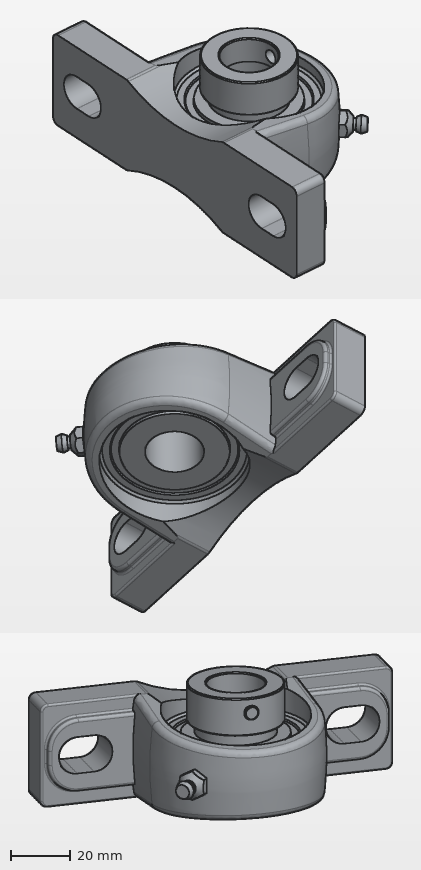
import cadquery as cq
import math


foot_length = 125.5
foot_width = 37.0
foot_bottom_y = -33.3
foot_top_y = -20.3
foot_corner_radius = 2.5
waist_half_length = 24.6
waist_half_width = 12.8
waist_blend_radius = 2.5
foot_edge_radius = 0.8

slot_center_x = 47.6
slot_length = 19.1
slot_width = 13.0
pad_outer_x = 60.7
pad_inner_x = 27.6
pad_width = 26.1
pad_height = 2.6
pad_corner_radius = 10.5
pad_edge_radius = 1.1
pad_foot_radius = 0.8

body_radius = 30.7
crown_radius = 113.0
body_tip_half_width = 12.11
body_edge_radius = 2.5

bore_diameter = 51.0
bore_shoulder_z = 9.0

ring_half_width = 8.3
ring_face_radius = 24.5
ring_bore_radius = 21.5
ring_bore_chamfer = 0.5

shield_bore_diameter = 37.6
shield_thickness = 1.0
shield_recess = 0.5

shaft_diameter = 20.0
inner_ring_diameter = 37.3
inner_ring_half_width = 8.9
neck_diameter = 28.0
neck_top_z = 17.1

collar_diameter = 33.3
collar_bottom_z = 13.0
collar_top_z = 26.54
collar_chamfer = 0.44
screw_diameter = 5.0
screw_z = 21.3
screw_inner_y = 13.8
screw_outer_y = 17.5
screw_chamfer = 0.4

nipple_angle = 45.0
stem_diameter = 5.0
stem_bottom = 27.6
hex_bottom = 30.7
hex_across_flats = 9.0
hex_chamfer_start = 32.9
shoulder_top = 35.4
shoulder_top_radius = 2.6
nipple_neck_diameter = 4.1
head_bottom = 36.4
head_widest = 38.2
head_widest_radius = 3.3
head_top = 40.2
head_end_diameter = 5.0

half_length = foot_length / 2
half_width = foot_width / 2
bore_radius = bore_diameter / 2
sphere_radius = math.hypot(ring_face_radius, ring_half_width)


def cylinder(diameter, bottom_z, top_z):
    return cq.Workplane("XY").workplane(offset=bottom_z).circle(diameter / 2).extrude(top_z - bottom_z)


def waisted_prism(bottom_y, top_y):
    """Foot outline in XZ with an arc waist on both long sides, extruded along Y."""
    prism = (
        cq.Workplane("XZ", origin=(0, bottom_y, 0))
        .moveTo(-half_length, -half_width)
        .lineTo(-waist_half_length, -half_width)
        .threePointArc((0, -waist_half_width), (waist_half_length, -half_width))
        .lineTo(half_length, -half_width)
        .lineTo(half_length, half_width)
        .lineTo(waist_half_length, half_width)
        .threePointArc((0, waist_half_width), (-waist_half_length, half_width))
        .lineTo(-half_length, half_width)
        .close()
        .extrude(bottom_y - top_y)
    )
    corners = prism.edges("|Y").edges("<X or >X")
    prism = corners.fillet(foot_corner_radius)
    middle = cq.selectors.BoxSelector(
        (-waist_half_length - 1.3, bottom_y - 1.3, -foot_width),
        (waist_half_length + 1.3, top_y + 1.3, foot_width),
    )
    return prism.edges("|Y").edges(middle).fillet(waist_blend_radius)


def make_pad(side):
    """Raised pad that runs from inside the housing body out past one slot."""
    outline = (
        cq.Workplane("XZ", origin=(side * (pad_outer_x + pad_inner_x) / 2, foot_top_y, 0))
        .rect(pad_outer_x - pad_inner_x, pad_width)
        .extrude(-pad_height)
    )
    rounded = outline.edges("|Y").edges(">X" if side > 0 else "<X").fillet(pad_corner_radius)
    return rounded.faces(">Y").edges().fillet(pad_edge_radius)


def pad_foot(side):
    """Selector for the edges where one pad meets the top of the foot."""
    margin = pad_foot_radius / 2
    inner_x, outer_x = sorted((side * (pad_inner_x - margin), side * (pad_outer_x + margin)))
    return cq.selectors.BoxSelector(
        (inner_x, foot_top_y - margin, -pad_width / 2 - margin),
        (outer_x, foot_top_y + margin, pad_width / 2 + margin),
    )


def make_body():
    """Domed body with crowned sides whose width tapers from the foot to the tip."""
    crown_drop = crown_radius - math.sqrt(crown_radius**2 - half_width**2)
    edge_radius = body_radius - crown_drop
    body_end_y = (foot_top_y + foot_bottom_y) / 2

    dome = (
        cq.Workplane("XZ")
        .moveTo(0, -half_width)
        .lineTo(edge_radius, -half_width)
        .threePointArc((body_radius, 0), (edge_radius, half_width))
        .lineTo(0, half_width)
        .close()
        .revolve(180, (0, 0), (0, 1))
    )
    straight = (
        cq.Workplane("XZ")
        .moveTo(-edge_radius, -half_width)
        .lineTo(edge_radius, -half_width)
        .threePointArc((body_radius, 0), (edge_radius, half_width))
        .lineTo(-edge_radius, half_width)
        .threePointArc((-body_radius, 0), (-edge_radius, -half_width))
        .close()
        .extrude(-body_end_y)
    )
    taper = (
        cq.Workplane("YZ")
        .polyline([
            (body_end_y, half_width),
            (foot_top_y, half_width),
            (body_radius, body_tip_half_width),
            (body_radius, -body_tip_half_width),
            (foot_top_y, -half_width),
            (body_end_y, -half_width),
        ])
        .close()
        .extrude(body_radius, both=True)
    )
    body = dome.union(straight).intersect(taper)
    for z in (1, -1):
        sloped = cq.selectors.NearestToPointSelector((0, 0, z * half_width))
        sides = cq.selectors.BoxSelector((-37.6, foot_top_y+1.3, -37.6), (37.6, 37.6, 37.6))
        body = body.faces(sloped).edges(sides).fillet(body_edge_radius)
    return body.intersect(waisted_prism(foot_bottom_y, body_radius))


def make_outer_ring():
    chamfer_radius = ring_bore_radius + ring_bore_chamfer
    chamfer_z = ring_half_width - ring_bore_chamfer
    return (
        cq.Workplane("XZ")
        .moveTo(ring_bore_radius, -chamfer_z)
        .lineTo(chamfer_radius, -ring_half_width)
        .lineTo(ring_face_radius, -ring_half_width)
        .threePointArc((sphere_radius, 0), (ring_face_radius, ring_half_width))
        .lineTo(chamfer_radius, ring_half_width)
        .lineTo(ring_bore_radius, chamfer_z)
        .close()
        .revolve(360, (0, 0), (0, 1))
    )


def make_bore_cutter():
    """Through bore that narrows to a spherical seat around the outer ring."""
    return (
        cq.Workplane("XZ")
        .moveTo(0, -foot_width)
        .lineTo(bore_radius, -foot_width)
        .lineTo(bore_radius, -bore_shoulder_z)
        .lineTo(ring_face_radius, -ring_half_width)
        .threePointArc((sphere_radius, 0), (ring_face_radius, ring_half_width))
        .lineTo(bore_radius, bore_shoulder_z)
        .lineTo(bore_radius, foot_width)
        .lineTo(0, foot_width)
        .close()
        .revolve(360, (0, 0), (0, 1))
    )


def turned(profile):
    """Solid turned about the X axis from (distance, radius) points."""
    points = [(profile[0][0], 0), *profile, (profile[-1][0], 0)]
    return cq.Workplane("XY").polyline(points).close().revolve(360, (0, 0), (1, 0))


def make_nipple():
    """Stem, hexagon with a conical shoulder, neck and head along one radius of the housing."""
    corner_radius = hex_across_flats / math.sqrt(3)
    stem_radius = stem_diameter / 2
    neck_radius = nipple_neck_diameter / 2
    head_end_radius = head_end_diameter / 2
    hexagon = (
        cq.Workplane("YZ", origin=(hex_bottom, 0, 0))
        .polygon(6, 2 * corner_radius)
        .extrude(shoulder_top - hex_bottom)
        .rotate((0, 0, 0), (1, 0, 0), 90)
    )
    shoulder = turned([
        (hex_bottom, corner_radius),
        (hex_chamfer_start, corner_radius),
        (shoulder_top, shoulder_top_radius),
    ])
    stem_and_head = turned([
        (stem_bottom, stem_radius),
        (hex_bottom, stem_radius),
        (hex_bottom, neck_radius),
        (head_bottom, neck_radius),
        (head_bottom, head_end_radius),
        (head_widest, head_widest_radius),
        (head_top, head_end_radius),
    ])
    nipple = hexagon.intersect(shoulder).union(stem_and_head)
    return nipple.rotate((0, 0, 0), (0, 0, 1), nipple_angle)


def make_housing(nipple):
    housing = waisted_prism(foot_bottom_y, foot_top_y).faces(">Y").edges().fillet(foot_edge_radius)
    for side in (-1, 1):
        housing = housing.union(make_pad(side))
    for side in (-1, 1):
        housing = housing.edges(pad_foot(side)).fillet(pad_foot_radius)
    housing = housing.union(make_body())
    slots = (
        cq.Workplane("XZ", origin=(0, foot_bottom_y, 0))
        .pushPoints([(-slot_center_x, 0), (slot_center_x, 0)])
        .slot2D(slot_length, slot_width)
        .extrude(foot_bottom_y - foot_top_y - pad_height)
    )
    return housing.cut(slots).cut(make_bore_cutter()).cut(nipple)


def make_inner_ring():
    race = cylinder(inner_ring_diameter, -inner_ring_half_width, inner_ring_half_width)
    neck = cylinder(neck_diameter, 0, neck_top_z)
    bore = cylinder(shaft_diameter, -inner_ring_half_width, neck_top_z)
    return race.union(neck).cut(bore)


def make_shield(side):
    outer_z = ring_half_width - shield_recess
    inner_z = outer_z - shield_thickness
    bottom_z, top_z = sorted((side * inner_z, side * outer_z))
    disc = cylinder(2 * ring_bore_radius, bottom_z, top_z)
    return disc.cut(cylinder(shield_bore_diameter, bottom_z, top_z))


def screw_hole():
    return (
        cq.Workplane("XZ", origin=(0, 0, screw_z))
        .circle(screw_diameter / 2)
        .extrude(-collar_diameter / 2)
    )


def make_collar():
    collar = cylinder(collar_diameter, collar_bottom_z, collar_top_z)
    collar = collar.cut(cylinder(shaft_diameter, collar_bottom_z, collar_top_z))
    collar = collar.faces("<Z or >Z").edges().chamfer(collar_chamfer)
    collar = collar.cut(cylinder(neck_diameter, collar_bottom_z, neck_top_z))
    return collar.cut(screw_hole())


def make_set_screw():
    return (
        cq.Workplane("XZ", origin=(0, screw_inner_y, screw_z))
        .circle(screw_diameter / 2)
        .extrude(screw_inner_y - screw_outer_y)
        .faces(">Y")
        .chamfer(screw_chamfer)
    )


nipple = make_nipple()
housing = make_housing(nipple)
outer_ring = make_outer_ring()
inner_ring = make_inner_ring()
shields = [make_shield(side) for side in (-1, 1)]
collar = make_collar()
set_screw = make_set_screw()

result = cq.Compound.makeCompound([
    housing.val(),
    outer_ring.val(),
    inner_ring.val(),
    *[shield.val() for shield in shields],
    collar.val(),
    set_screw.val(),
    nipple.val(),
])